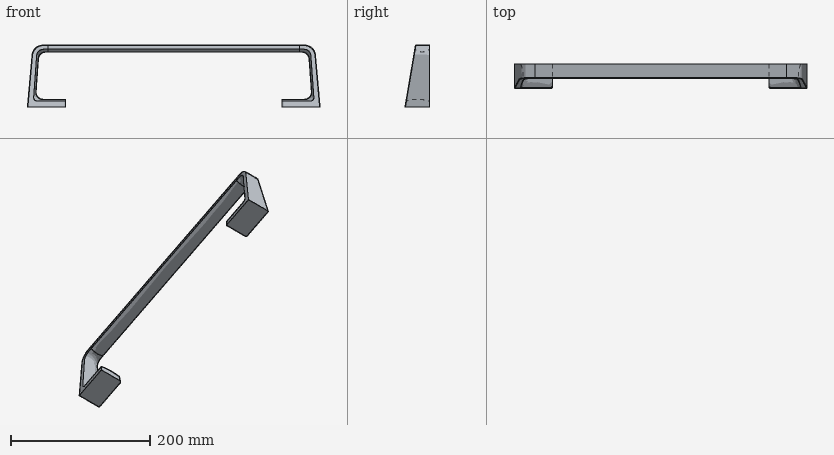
import cadquery as cq
import math

length = 420.0
height = 89.0
foot_depth = 35.5
top_depth = 20.0
center_x = length / 2
front_lean = (foot_depth - top_depth) / height

side_lean = 8.0
outer_radius = 16.0
front_edge_chamfer = 0.65

edge_foot = 9.0
edge_leg_bottom = 8.0
edge_leg_top = 6.5
edge_bar = 6.0
edge_bottom_radius = 5.0
edge_top_radius = 10.0

crown_foot = 11.5
crown_leg_bottom = 11.0
crown_leg_top = 9.2
crown_bar = 10.0
crown_bottom_radius = 9.5
crown_top_radius = 10.0

foot_length = 55.0
foot_end_fillet = 3.0
joint_x = 30.0
split_z = height / 2


def corner_arc(before, corner, after, radius):
    """Start, middle and end of the arc that rounds a corner between two straight lines."""
    to_before = (before - corner).normalized()
    to_after = (after - corner).normalized()
    half_angle = to_before.getAngle(to_after) / 2
    setback = radius / math.tan(half_angle)
    middle_distance = radius / math.sin(half_angle) - radius
    return (
        corner + to_before * setback,
        corner + (to_before + to_after).normalized() * middle_distance,
        corner + to_after * setback,
    )


def opening_outline(depth_share, foot, leg_bottom, leg_top, bar, bottom_radius, top_radius):
    """Rounded trapezoid in a plane between the back (share 0) and the leaning front face (share 1)."""
    lean = depth_share * front_lean
    stretch = math.hypot(1, lean)
    plane = cq.Plane(
        origin=(center_x, -depth_share * foot_depth, 0), xDir=(1, 0, 0), normal=(0, -1, lean)
    )

    def half_width(z):
        leg = leg_bottom + (leg_top - leg_bottom) * z / height
        return center_x - side_lean * z / height - leg

    top_z = height - bar
    corners = [
        cq.Vector(-half_width(foot), foot * stretch),
        cq.Vector(half_width(foot), foot * stretch),
        cq.Vector(half_width(top_z), top_z * stretch),
        cq.Vector(-half_width(top_z), top_z * stretch),
    ]
    radii = [bottom_radius, bottom_radius, top_radius, top_radius]
    count = len(corners)
    arcs = []
    for i in range(count):
        points = corner_arc(corners[i - 1], corners[i], corners[(i + 1) % count], radii[i])
        arcs.append([plane.toWorldCoords(point) for point in points])

    edges = []
    for i in range(count):
        next_start = arcs[(i + 1) % count][0]
        edges.append(cq.Edge.makeThreePointArc(*arcs[i]))
        edges.append(cq.Edge.makeLine(arcs[i][-1], next_start))
    return cq.Wire.assembleEdges(edges)


def make_opening():
    """The space inside the handle; its walls bulge inward to a crown midway between front and back."""
    edge = (edge_foot, edge_leg_bottom, edge_leg_top, edge_bar, edge_bottom_radius, edge_top_radius)
    crown = (crown_foot, crown_leg_bottom, crown_leg_top, crown_bar, crown_bottom_radius, crown_top_radius)
    outlines = [
        opening_outline(0, *edge),
        opening_outline(0.5, *crown),
        opening_outline(1, *edge),
    ]
    return cq.Workplane(cq.Solid.makeLoft(outlines))


def make_block():
    """The outer shape: leaning sides, rounded top corners and a leaning front with chamfered edges."""
    outline = (
        cq.Workplane("XZ")
        .polyline([(0, 0), (length, 0), (length - side_lean, height), (side_lean, height)])
        .close()
        .extrude(foot_depth)
        .edges("|Y and >Z")
        .fillet(outer_radius)
    )
    profile = (
        cq.Workplane("YZ")
        .polyline([(-foot_depth, 0), (0, 0), (0, height), (-top_depth, height)])
        .close()
        .extrude(length)
    )
    return outline.intersect(profile).faces("<Y").edges("not <Z").chamfer(front_edge_chamfer)


def centered_zone(end_distance, bottom, top):
    """Full-depth box over the middle of the handle, stopping end_distance short of both ends."""
    return (
        cq.Workplane("XY", origin=(center_x, 0, bottom))
        .rect(length - 2 * end_distance, 2 * foot_depth)
        .extrude(top - bottom)
    )


foot_gap = centered_zone(foot_length, 0, split_z)
frame = make_block().cut(make_opening()).cut(foot_gap)
bar_zone = centered_zone(joint_x, split_z, height)


def make_bar():
    return frame.intersect(bar_zone)


def make_leg(side):
    """A leg with its foot; side is -1 for the leg at X = 0 and 1 for the leg at X = length."""
    half = cq.Workplane("XY").rect(center_x, 2 * foot_depth).extrude(height)
    half = half.translate((center_x + side * center_x / 2, 0, 0))
    leg = frame.cut(bar_zone).intersect(half)
    inner_end = leg.faces("<X" if side > 0 else ">X")
    return inner_end.edges("<Y").fillet(foot_end_fillet)


bar = make_bar()
legs = [make_leg(side) for side in (-1, 1)]

result = cq.Compound.makeCompound([bar.val(), *[leg.val() for leg in legs]])